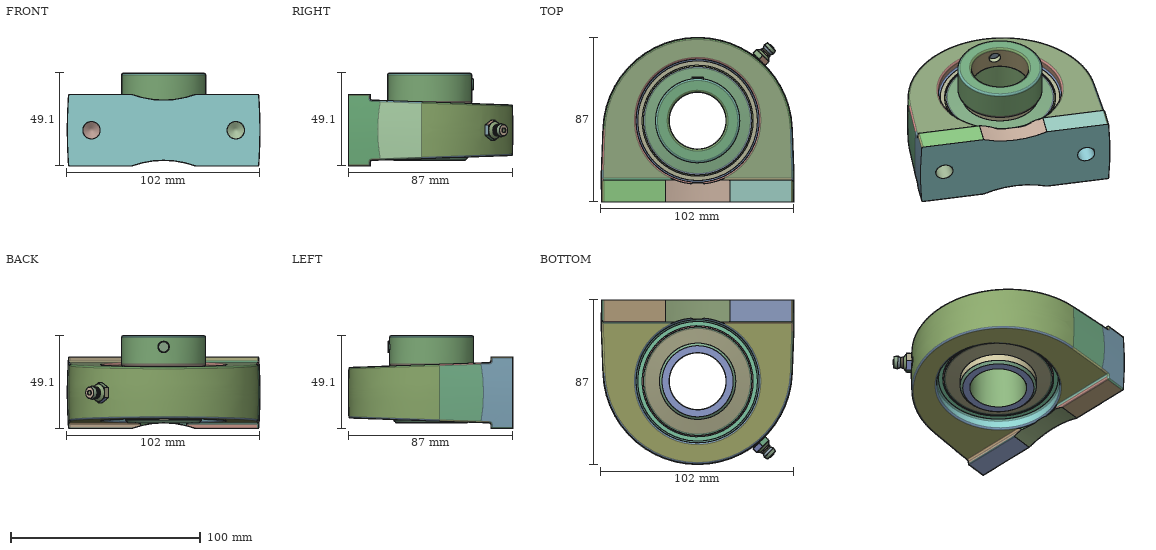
import cadquery as cq
import math


half_width = 51.0
base_y = -43.0
crown_radius = 50.1
crown_center_y = -6.1
clear_y = 61.1
wall_draft = 2.1
foot_bulge_radius = 254.8
body_bulge_radius = 285.3

foot_half_height = 19.01
step_y = -31.3
body_half_height = 16.0
body_draft = 2.0
step_fillet = 0.9
foot_corner_fillet = 0.4
rim_fillet = 0.8

relief_half_width = 17.0
relief_depth = 3.1

opening_diameter = 65.0
opening_fillet = 0.9
flare_clearance = 0.1
seat_corner_fillet = 0.8

mount_hole_spacing = 76.2
mount_hole_diameter = 9.2
mount_hole_depth = 15.3
drill_point_angle = 118.0

outer_ring_diameter = 63.2
outer_ring_half_width = 9.5
outer_ring_bore = 51.4
inner_ring_diameter = 40.4
inner_ring_bore = 30.0
inner_ring_bottom = -15.9
inner_ring_top = 18.0
inner_ring_end_diameter = 37.6

seal_diameter = 58.7
seal_rim_diameter = 55.8
seal_thickness = 2.0
seal_edge_chamfer = 0.7
seal_cone_rise = 0.8

collar_diameter = 44.5
collar_bore = 30.2
collar_bottom = 13.7
collar_top = 30.11
collar_top_fillet = 1.0
collar_bottom_fillet = 1.5

screw_diameter = 6.0
screw_end_diameter = 5.4
screw_z = 24.2
screw_inner_y = 17.9
screw_outer_y = 23.1

nipple_angle = 45.0
nipple_shank_diameter = 6.0
nipple_shank_start = 39.7
hex_start = 45.9
hex_end = 48.7
hex_across_flats = 9.2
nipple_cone_end = 50.1
nipple_neck_start = 51.0
nipple_neck_end = 51.8
nipple_neck_diameter = 5.4
nipple_head_widest = 53.3
nipple_head_diameter = 6.9
nipple_top = 55.2
nipple_tip_diameter = 2.5
nipple_tip_end = 55.6


def revolved(points):
    """Solid of revolution about Z from (radius, z) points."""
    return cq.Workplane("XZ").polyline(points).close().revolve(360, (0, 0), (0, 1))


def ring(outer_diameter, inner_diameter, z_low, z_high):
    return (
        cq.Workplane("XY", origin=(0, 0, z_low))
        .circle(outer_diameter / 2)
        .circle(inner_diameter / 2)
        .extrude(z_high - z_low)
    )


def cylinder(diameter, z_low, z_high):
    return cq.Workplane("XY", origin=(0, 0, z_low)).circle(diameter / 2).extrude(z_high - z_low)


def barrel_profile(inner_x, outer_x, bulge_radius):
    """XZ sketch whose outer edge is barrelled and whose inner edge is straight."""
    inset = bulge_radius - math.sqrt(bulge_radius**2 - foot_half_height**2)
    edge_x = outer_x - inset
    return (
        cq.Workplane("XZ")
        .moveTo(inner_x, -foot_half_height)
        .lineTo(edge_x, -foot_half_height)
        .threePointArc((outer_x, 0), (edge_x, foot_half_height))
        .lineTo(inner_x, foot_half_height)
        .close()
    )


def outline_block():
    """Barrelled housing outline: round crown, drafted walls and parallel foot sides."""
    crown_arc = 180 + 2 * wall_draft
    crown = barrel_profile(0, crown_radius, body_bulge_radius).revolve(crown_arc, (0, 0), (0, 1))
    crown = crown.rotate((0, 0, 0), (0, 0, 1), -wall_draft)

    wall_length = crown_center_y - base_y + 5.1
    wall = barrel_profile(-crown_radius / 2, crown_radius, body_bulge_radius).extrude(wall_length)
    wall = wall.rotate((0, 0, 0), (0, 0, 1), wall_draft)
    block = crown.union(wall).union(wall.mirror("YZ")).translate((0, crown_center_y, 0))

    foot_side = barrel_profile(0, half_width, foot_bulge_radius).extrude(101.9, both=True)
    limits = foot_side.union(foot_side.mirror("YZ"))
    return block.intersect(limits)


def body_half_height_at(y):
    """Half height of the tapering body, falling from the step towards the crown."""
    return body_half_height - (y - step_y) * math.tan(math.radians(body_draft))


def side_prism():
    """Foot and tapering body as a prism along X, wide enough to cover the outline."""
    upper = [
        (clear_y, body_half_height_at(clear_y)),
        (step_y, body_half_height),
        (step_y, foot_half_height),
        (base_y, foot_half_height),
    ]
    lower = [(y, -z) for y, z in reversed(upper)]
    prism = cq.Workplane("YZ").polyline(upper + lower).close().extrude(half_width + 1.0, both=True)
    for height, radius in ((body_half_height, step_fillet), (foot_half_height, foot_corner_fillet)):
        for z in (height, -height):
            prism = prism.edges(cq.NearestToPointSelector((0, step_y, z))).fillet(radius)
    return prism


def rounded_rims(body):
    """Round the rim between the side surfaces and the upper and lower surfaces."""
    rims = body.edges("not |X").filter(lambda edge: abs(edge.Center().z) > body_half_height / 2)
    return rims.fillet(rim_fillet)


def seat_cutter():
    """Everything to remove for the bearing: bore, counterbores and flared openings."""
    corners = [(y, side * body_half_height_at(y)) for y, side in
               ((clear_y, 1), (-clear_y, 1), (-clear_y, -1), (clear_y, -1))]
    wedge = cq.Workplane("YZ").polyline(corners).close().extrude(clear_y, both=True)
    wedge = wedge.cut(cylinder(outer_ring_diameter, -foot_half_height, foot_half_height))
    for z_low, z_high in (
        (outer_ring_half_width, foot_half_height),
        (-foot_half_height, -outer_ring_half_width),
    ):
        wedge = wedge.cut(cylinder(opening_diameter, z_low, z_high))
    seat_corners = wedge.edges("%CIRCLE").edges(cq.selectors.RadiusNthSelector(-1))
    wedge = seat_corners.fillet(seat_corner_fillet)
    mouths = wedge.edges("%ELLIPSE")
    wedge = mouths.fillet(opening_fillet)
    flare_diameter = opening_diameter + 2 * (opening_fillet + flare_clearance)
    return cylinder(flare_diameter, -foot_half_height, foot_half_height).cut(wedge)


def relief_cutter():
    """Shallow arches along Y that clear the bearing on both foot faces."""
    radius = (relief_half_width**2 + relief_depth**2) / (2 * relief_depth)
    center_z = foot_half_height - relief_depth + radius
    return (
        cq.Workplane("XZ", origin=(0, base_y, 0))
        .pushPoints([(0, center_z), (0, -center_z)])
        .circle(radius)
        .extrude(base_y - step_y - step_fillet)
    )


def mount_hole_cutter():
    """Blind drilled holes in the base face."""
    radius = mount_hole_diameter / 2
    point_depth = radius / math.tan(math.radians(drill_point_angle / 2))
    drill = (
        cq.Workplane("XY")
        .polyline([
            (0, base_y),
            (radius, base_y),
            (radius, base_y + mount_hole_depth),
            (0, base_y + mount_hole_depth + point_depth),
        ])
        .close()
        .revolve(360, (0, 0), (0, 1))
    )
    offset = mount_hole_spacing / 2
    return drill.translate((offset, 0, 0)).union(drill.translate((-offset, 0, 0)))


def along_nipple_axis(solid):
    """Move a solid built on +Z onto the nipple axis."""
    return solid.rotate((0, 0, 0), (0, 1, 0), 90).rotate((0, 0, 0), (0, 0, 1), nipple_angle)


def make_housing():
    body = rounded_rims(outline_block().intersect(side_prism()))
    body = body.cut(seat_cutter()).cut(relief_cutter()).cut(mount_hole_cutter())
    nipple_hole = cylinder(nipple_shank_diameter, nipple_shank_start, hex_start)
    return body.cut(along_nipple_axis(nipple_hole))


def make_outer_ring():
    body = ring(outer_ring_diameter, outer_ring_bore, -outer_ring_half_width, outer_ring_half_width)
    for z_low in (outer_ring_half_width - seal_thickness, -outer_ring_half_width):
        body = body.cut(cylinder(seal_diameter, z_low, z_low + seal_thickness))
    return body


def make_inner_ring():
    outer = inner_ring_diameter / 2
    end = inner_ring_end_diameter / 2
    bore = inner_ring_bore / 2
    return revolved([
        (bore, inner_ring_bottom),
        (end, inner_ring_bottom),
        (outer, inner_ring_bottom + outer - end),
        (outer, inner_ring_top),
        (bore, inner_ring_top),
    ])


def make_seal():
    """Upper seal: flat rim with a chamfered edge, rising as a shallow cone to the inner ring."""
    face = outer_ring_half_width
    radius = seal_diameter / 2
    inner = inner_ring_diameter / 2
    return revolved([
        (inner, face - seal_thickness),
        (radius, face - seal_thickness),
        (radius, face - seal_edge_chamfer),
        (radius - seal_edge_chamfer, face),
        (seal_rim_diameter / 2, face),
        (inner, face + seal_cone_rise),
    ])


def make_collar():
    body = ring(collar_diameter, collar_bore, collar_bottom, collar_top)
    body = body.faces(">Z").edges().fillet(collar_top_fillet)
    body = body.faces("<Z").edges(cq.selectors.RadiusNthSelector(-1)).fillet(collar_bottom_fillet)
    body = body.cut(cylinder(inner_ring_diameter, collar_bottom, inner_ring_top))
    hole = cq.Workplane("XZ").center(0, screw_z).circle(screw_diameter / 2).extrude(-collar_diameter)
    return body.cut(hole)


def make_set_screw():
    length = screw_outer_y - screw_inner_y
    screw = (
        cq.Workplane("XZ", origin=(0, screw_inner_y, screw_z))
        .circle(screw_diameter / 2)
        .extrude(-length)
    )
    return screw.faces(">Y").edges().chamfer((screw_diameter - screw_end_diameter) / 2)


def make_nipple():
    shank = nipple_shank_diameter / 2
    neck = nipple_neck_diameter / 2
    head = nipple_head_diameter / 2
    tip = nipple_tip_diameter / 2
    hex_corner = hex_across_flats / math.sqrt(3)
    turned = revolved([
        (0, nipple_shank_start),
        (shank, nipple_shank_start),
        (shank, hex_start),
        (hex_across_flats / 2, hex_end),
        (shank, nipple_cone_end),
        (shank, nipple_neck_start),
        (neck, nipple_neck_start),
        (neck, nipple_neck_end),
        (head, nipple_head_widest),
        (shank, nipple_top),
        (tip, nipple_top),
        (tip, nipple_tip_end),
        (0, nipple_tip_end),
    ])
    hexagon = (
        cq.Workplane("XY", origin=(0, 0, hex_start))
        .polygon(6, 2 * hex_corner)
        .extrude(hex_end - hex_start)
    )
    return along_nipple_axis(turned.union(hexagon))


housing = make_housing()
outer_ring = make_outer_ring()
inner_ring = make_inner_ring()
upper_seal = make_seal()
lower_seal = upper_seal.mirror("XY")
collar = make_collar()
set_screw = make_set_screw()
nipple = make_nipple()

bodies = [housing, outer_ring, inner_ring, upper_seal, lower_seal, collar, set_screw, nipple]
result = cq.Compound.makeCompound([body.val() for body in bodies])